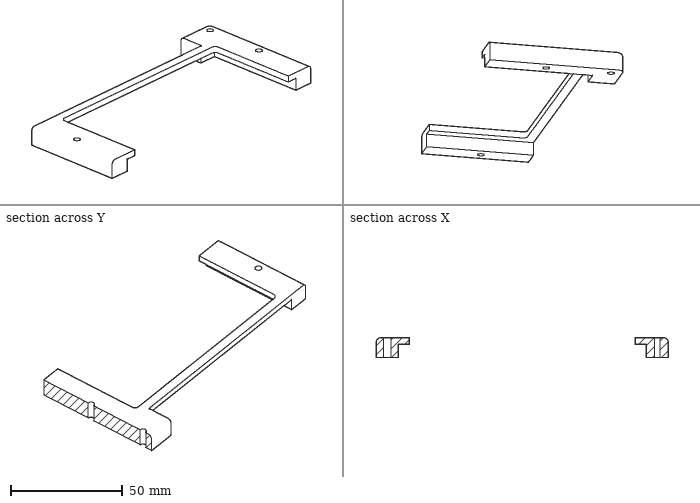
import cadquery as cq

length = 62.29
width = 131.54
height = 9.0

plate_thickness = 3.0
arm_depth = 15.0
corner_plate_depth = 19.0
bar_left = 12.79
bar_width = 4.5
inner_corner_radius = 2.0

lip_depth = 10.0
block_length = 12.29
block_depth = 19.04

top_edge_radius = 2.0
block_corner_radius = 3.0

hole_diameter = 3.0
hole_edge_distance = 5.0
rear_hole_spacing = 30.0
front_hole_x = 36.04

bar_right = bar_left + bar_width
plate_bottom = height - plate_thickness


def box(x_start, x_end, y_start, y_end, z_start, z_end):
    """Axis-aligned block between the given limits."""
    return cq.Workplane("XY").box(
        x_end - x_start, y_end - y_start, z_end - z_start, centered=False
    ).translate((x_start, y_start, z_start))


def make_plate():
    """C-shaped top plate with a deeper rear arm and rounded inner corners."""
    outline = [
        (bar_left, 0),
        (length, 0),
        (length, arm_depth),
        (bar_right, arm_depth),
        (bar_right, width - arm_depth),
        (length, width - arm_depth),
        (length, width),
        (0, width),
        (0, width - corner_plate_depth),
        (bar_left, width - corner_plate_depth),
    ]
    base = cq.Workplane("XY", origin=(0, 0, plate_bottom))
    plate = base.polyline(outline).close().extrude(plate_thickness)
    margin = bar_width / 2
    inner_corners = cq.selectors.BoxSelector(
        (bar_right - margin, arm_depth - margin, 0),
        (bar_right + margin, width - arm_depth + margin, height),
    )
    return plate.edges("|Z").edges(inner_corners).fillet(inner_corner_radius)


def make_supports():
    """Front lip, rear lip and corner block, standing on the base plane."""
    front_lip = box(bar_left, length, 0, lip_depth, 0, plate_bottom)
    rear_lip = box(0, length, width - lip_depth, width, 0, plate_bottom)
    corner_block = box(0, block_length, width - block_depth, width, 0, height)
    return front_lip.union(rear_lip).union(corner_block)


def round_outer_edges(body):
    """Round the upright rear corner, then the top edges along the front, rear and left faces."""
    body = body.edges("|Z and <X and >Y").fillet(block_corner_radius)
    body = body.faces("<Y").edges(">Z").fillet(top_edge_radius)
    return body.faces("<X").edges(">Z").fillet(top_edge_radius)


def drill_holes(body):
    """Drill the three screw holes straight through the arms."""
    rear_hole_y = width - hole_edge_distance
    centers = [
        (hole_edge_distance, rear_hole_y),
        (hole_edge_distance + rear_hole_spacing, rear_hole_y),
        (front_hole_x, hole_edge_distance),
    ]
    drills = cq.Workplane("XY").pushPoints(centers).circle(hole_diameter / 2).extrude(height)
    return body.cut(drills)


body = make_plate().union(make_supports())
result = drill_holes(round_outer_edges(body))